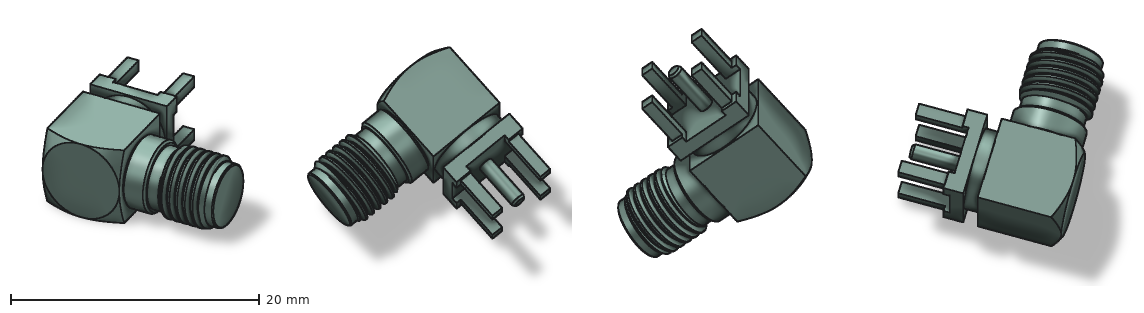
import cadquery as cq
import math


body_size = 7.0
half_body = body_size / 2
overall_length_x = 15.1
overall_length_y = 13.8
barrel_end_x = overall_length_x - half_body
leg_end_y = overall_length_y - half_body

bevel_angle = 30.0

neck_radius = 3.35
neck_length = 1.21
plate_thickness = 1.15
pad_height = 0.51
pad_size = 1.48
leg_size = 1.03
pin_radius = 0.63
pin_end_gap = 0.21
pin_chamfer_length = 0.23
pin_chamfer_depth = 0.14

neck_end_y = half_body + neck_length
plate_end_y = neck_end_y + plate_thickness
pad_end_y = plate_end_y + pad_height
pin_end_y = leg_end_y - pin_end_gap

collar_radius = 3.1
collar_length = 2.11
collar_chamfer = 0.2
core_radius = 2.7
barrel_chamfer = 0.1
collar_end_x = half_body + collar_length

thread_radius = collar_radius
thread_flank_angle = 30.0
thread_crest_width = 0.18
thread_length = 4.23
thread_turns = 6
thread_pitch = thread_length / thread_turns
thread_end_gap = 0.77
thread_end_x = barrel_end_x - thread_end_gap
thread_start_x = thread_end_x - thread_length
first_crest_offset = 0.1
ridge_embed = 0.05
trim_margin = 0.15


def revolve_about_x(points):
    """Turn an (x, radius) outline about the X axis."""
    return cq.Workplane("XY").polyline(points).close().revolve(360, (0, 0, 0), (1, 0, 0))


def revolve_about_y(points):
    """Turn a (radius, y) outline about the Y axis."""
    return cq.Workplane("XY").polyline(points).close().revolve(360, (0, 0, 0), (0, 1, 0))


def square_bar(size, start_y, end_y, x=0, z=0):
    """Square bar running along Y, centred on (x, z)."""
    length = end_y - start_y
    return cq.Workplane("XY").box(size, length, size).translate((x, start_y + length / 2, z))


def make_body():
    """Square body with its -Y corners cut back by a cone."""
    rim_radius = body_size
    rim_y = -half_body + (rim_radius - half_body) * math.tan(math.radians(bevel_angle))
    bevel_envelope = revolve_about_y([
        (0, -half_body),
        (half_body, -half_body),
        (rim_radius, rim_y),
        (rim_radius, half_body),
        (0, half_body),
    ])
    return square_bar(body_size, -half_body, half_body).intersect(bevel_envelope)


def make_mount():
    """Round neck and square plate with a pad and a leg at each corner."""
    neck = cq.Workplane("XZ").circle(neck_radius).extrude(-neck_end_y)
    mount = neck.union(square_bar(body_size, neck_end_y, plate_end_y))
    pad_center = half_body - pad_size / 2
    leg_center = half_body - pad_size + leg_size / 2
    for x_side in (-1, 1):
        for z_side in (-1, 1):
            pad = square_bar(pad_size, neck_end_y, pad_end_y, x_side * pad_center, z_side * pad_center)
            leg = square_bar(leg_size, neck_end_y, leg_end_y, x_side * leg_center, z_side * leg_center)
            mount = mount.union(pad).union(leg)
    return mount


def make_pin():
    """Centre pin with a chamfered tip."""
    return revolve_about_y([
        (0, neck_end_y),
        (pin_radius, neck_end_y),
        (pin_radius, pin_end_y - pin_chamfer_length),
        (pin_radius - pin_chamfer_depth, pin_end_y),
        (0, pin_end_y),
    ])


def make_barrel():
    """Chamfered collar followed by the plain barrel core."""
    return revolve_about_x([
        (0, 0),
        (0, core_radius),
        (half_body, core_radius),
        (half_body, collar_radius - collar_chamfer),
        (half_body + collar_chamfer, collar_radius),
        (collar_end_x - collar_chamfer, collar_radius),
        (collar_end_x, collar_radius - collar_chamfer),
        (collar_end_x, core_radius),
        (barrel_end_x - barrel_chamfer, core_radius),
        (barrel_end_x, core_radius - barrel_chamfer),
        (barrel_end_x, 0),
    ])


def make_thread():
    """Helical ridge, trimmed to a band with 45 degree ends."""
    root_radius = core_radius - ridge_embed
    flank_height = thread_radius - root_radius
    half_crest = thread_crest_width / 2
    half_root = half_crest + flank_height * math.tan(math.radians(thread_flank_angle))

    helix_length = thread_length + 2 * thread_pitch
    helix = cq.Wire.makeHelix(thread_pitch, helix_length, root_radius)
    ridge = (
        cq.Workplane("XZ")
        .polyline([
            (root_radius, -half_root),
            (thread_radius, -half_crest),
            (thread_radius, half_crest),
            (root_radius, half_root),
        ])
        .close()
        .sweep(cq.Workplane(obj=helix), isFrenet=True)
    )
    ridge = ridge.rotate((0, 0, 0), (0, 1, 0), 90).rotate((0, 0, 0), (1, 0, 0), 90)
    ridge = ridge.translate((thread_start_x + first_crest_offset - thread_pitch, 0, 0))

    band_start_x = thread_start_x - trim_margin
    band_end_x = thread_end_x + trim_margin
    band_inner_radius = core_radius - trim_margin
    band_outer_radius = thread_radius + trim_margin
    slope_length = band_outer_radius - band_inner_radius
    band = revolve_about_x([
        (band_start_x, 0),
        (band_start_x, band_inner_radius),
        (band_start_x + slope_length, band_outer_radius),
        (band_end_x - slope_length, band_outer_radius),
        (band_end_x, band_inner_radius),
        (band_end_x, 0),
    ])
    return ridge.intersect(band)


result = (
    make_body()
    .union(make_mount())
    .union(make_pin())
    .union(make_barrel())
    .union(make_thread())
)